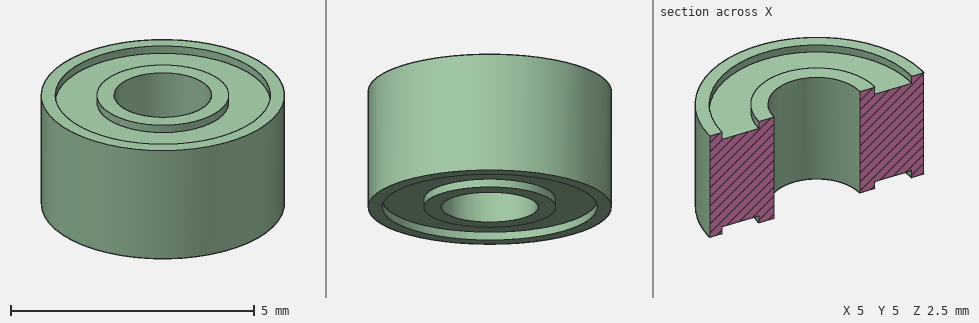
import cadquery as cq

outer_diameter = 5.0
width = outer_diameter / 2
bore_diameter = 2.0
inner_ring_diameter = 2.71
outer_ring_inner_diameter = 4.42
shield_recess = 0.17


def ring(outer, inner, height, base):
    """Plain ring around the Z axis, standing on Z = base."""
    return (
        cq.Workplane("XY")
        .workplane(offset=base)
        .circle(outer / 2)
        .circle(inner / 2)
        .extrude(height)
    )


bearing = ring(outer_diameter, bore_diameter, width, 0)

for recess_base in (0, width - shield_recess):
    bearing = bearing.cut(
        ring(outer_ring_inner_diameter, inner_ring_diameter, shield_recess, recess_base)
    )

result = bearing